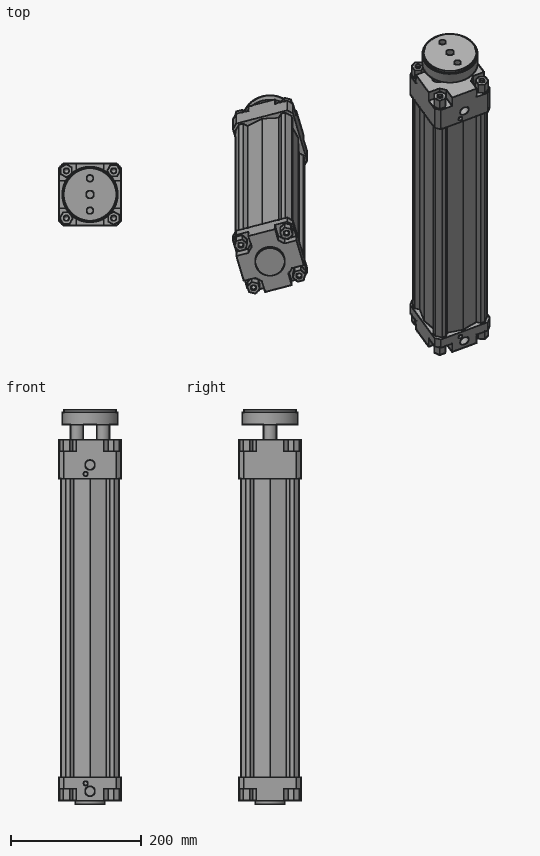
import cadquery as cq
import math

total_height = 603.0
boss_height = 5.5
bottom_cap_top = 41.5
top_cap_bottom = 497.5
top_cap_top = 557.0
plate_bottom = 580.0

corner_count = 4
quarter_turn = math.pi / 2

cap_width = 95.0
cap_half = cap_width / 2
cap_chamfer = 7.0
boss_diameter = 45.0

pocket_depth = 18.0
pocket_edge = 21.0
pocket_bevel = 8.0
nut_offset = 36.0
nut_sides = 6
nut_corner_diameter = 20.0
nut_hole_diameter = 8.5
nut_hole_radius = nut_hole_diameter / 2
nut_hole_depth = 5.0
nut_hole_tip = nut_hole_radius

port_diameter = 15.0
port_depth = 15.0
screw_hole_diameter = 6.5
screw_hole_depth = 6.0
screw_hole_x = -6.5
bottom_port_z = 20.0
top_port_z = 518.5
bottom_screw_hole_z = 32.0
top_screw_hole_z = 505.0

barrel_half = 44.5
barrel_chamfer = 8.0
rail_edge = 30.0
groove_depth = 5.5

rod_diameter = 20.0
rod_offset = 20.0
plate_diameter = 85.0
plate_step_diameter = 80.0
plate_step_height = 4.0
plate_center_hole_diameter = 12.0
plate_side_hole_diameter = 10.0
plate_side_hole_offset = 25.0
plate_hole_depth = 12.0


def block(x_low, x_high, y_low, y_high, z_low, z_high):
    """A box given by its limits along each axis."""
    size = (x_high - x_low, y_high - y_low, z_high - z_low)
    return cq.Workplane("XY").box(*size, centered=False).translate((x_low, y_low, z_low))


def cylinder(diameter, x, y, z_low, z_high):
    """An upright cylinder."""
    return (
        cq.Workplane("XY", origin=(x, y, z_low))
        .circle(diameter / 2)
        .extrude(z_high - z_low)
    )


def four_corners(shape):
    """The shape repeated at quarter turns about the Z axis."""
    return [
        shape.rotate((0, 0, 0), (0, 0, 1), math.degrees(turn * quarter_turn))
        for turn in range(corner_count)
    ]


def corner_pocket(z_low):
    """The space taken out of one cap corner, bevelled at its inner edge."""
    pocket = block(pocket_edge, cap_half, pocket_edge, cap_half, z_low, z_low + pocket_depth)
    return pocket.edges("|Z and <X and <Y").chamfer(pocket_bevel)


def corner_nut(z_low):
    """A hexagonal nut as tall as the corner pocket."""
    return (
        cq.Workplane("XY", origin=(nut_offset, nut_offset, z_low))
        .polygon(nut_sides, nut_corner_diameter)
        .extrude(pocket_depth)
    )


def nut_hole(outer_z, inward):
    """A blind hole with a conical end, going from outer_z along Z in the inward direction."""
    shoulder_z = outer_z + inward * nut_hole_depth
    tip_z = shoulder_z + inward * nut_hole_tip
    return (
        cq.Workplane("XZ")
        .polyline([(0, outer_z), (nut_hole_radius, outer_z), (nut_hole_radius, shoulder_z), (0, tip_z)])
        .close()
        .revolve(360, (0, 0), (0, 1))
        .translate((nut_offset, nut_offset, 0))
    )


def end_cap(z_low, z_high, pocket_z, outer_z, inward):
    """A square cap with chamfered corners, and a nut in a pocket at each corner of its outer face."""
    cap = block(-cap_half, cap_half, -cap_half, cap_half, z_low, z_high)
    cap = cap.edges("|Z").chamfer(cap_chamfer)
    for pocket in four_corners(corner_pocket(pocket_z)):
        cap = cap.cut(pocket)
    for nut in four_corners(corner_nut(pocket_z)):
        cap = cap.union(nut)
    for hole in four_corners(nut_hole(outer_z, inward)):
        cap = cap.cut(hole)
    return cap


def front_hole(diameter, x, z, depth):
    """A round blind hole going in from the front face of a cap."""
    return (
        cq.Workplane("XZ", origin=(x, -cap_half, z))
        .circle(diameter / 2)
        .extrude(-depth)
    )


def barrel():
    """The tube between the caps: four corner rails, with a shallow ridge along each side."""
    groove_edge = rail_edge - groove_depth
    side = [
        (0, barrel_half),
        (-groove_edge, barrel_half - groove_depth),
        (-rail_edge, barrel_half),
        (-barrel_half + barrel_chamfer, barrel_half),
        (-barrel_half, barrel_half - barrel_chamfer),
        (-barrel_half, rail_edge),
        (-barrel_half + groove_depth, groove_edge),
    ]
    outline = []
    for turn in range(corner_count):
        cosine = round(math.cos(turn * quarter_turn))
        sine = round(math.sin(turn * quarter_turn))
        outline += [(x * cosine - y * sine, x * sine + y * cosine) for x, y in side]
    return (
        cq.Workplane("XY", origin=(0, 0, bottom_cap_top))
        .polyline(outline)
        .close()
        .extrude(top_cap_bottom - bottom_cap_top)
    )


def make_housing():
    """Both caps, the barrel between them and the boss underneath."""
    bottom_cap = end_cap(boss_height, bottom_cap_top, boss_height, boss_height, 1)
    top_cap = end_cap(top_cap_bottom, top_cap_top, top_cap_top - pocket_depth, top_cap_top, -1)
    body = barrel().union(bottom_cap).union(top_cap)
    body = body.union(cylinder(boss_diameter, 0, 0, 0, boss_height))
    for z in (bottom_port_z, top_port_z):
        body = body.cut(front_hole(port_diameter, 0, z, port_depth))
    for z in (bottom_screw_hole_z, top_screw_hole_z):
        body = body.cut(front_hole(screw_hole_diameter, screw_hole_x, z, screw_hole_depth))
    return body


def make_piston():
    """The round yoke plate, stepped at its top, on two rods that end at the top cap."""
    step_bottom = total_height - plate_step_height
    body = cylinder(plate_diameter, 0, 0, plate_bottom, step_bottom)
    body = body.union(cylinder(plate_step_diameter, 0, 0, step_bottom, total_height))
    for x in (-rod_offset, rod_offset):
        body = body.union(cylinder(rod_diameter, x, 0, top_cap_top, plate_bottom))
    hole_bottom = total_height - plate_hole_depth
    body = body.cut(cylinder(plate_center_hole_diameter, 0, 0, hole_bottom, total_height))
    for y in (-plate_side_hole_offset, plate_side_hole_offset):
        body = body.cut(cylinder(plate_side_hole_diameter, 0, y, hole_bottom, total_height))
    return body


housing = make_housing()
piston = make_piston()

result = cq.Compound.makeCompound([housing.val(), piston.val()])